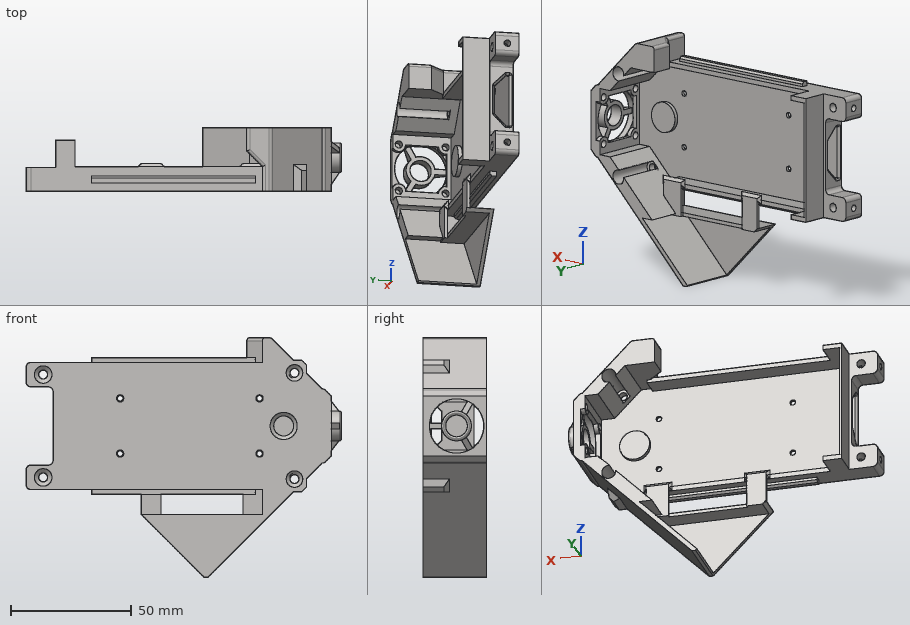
import cadquery as cq
import math


select_margin = 0.1

tray_half = 26.5
tray_depth = 10.3
floor = 1.65
wall = 2.0
tray_left = 11.2
tray_right = 98.3

tab_inner = 16.25
tab_depth = 10.0
tab_shoulder = 12.25
tab_fillet = 2.0
tab_hole_x = 7.1
tab_hole_z = 21.4
tab_pilot_y = 5.0
tab_pilot_dia = 2.7
tab_pilot_length = 10.0

screw_dia = 3.6
tab_screw_sink = 7.3
head_screw_sink = 6.9
board_hole_dia = 2.3
board_sink_dia = 3.0
board_hole_x = (39.15, 97.15)
board_hole_z = 11.5

bar_left = tab_shoulder
bar_right = 20.4
bar_back = 21.3

rail_left, rail_right = 27.3, 95.4
rail_front, rail_back = 3.5, 6.4
rail_height = 2.0
rail_chamfer = 0.9

head_depth = 26.5
head_top = 36.78
end_x = 127.0
end_inner_x = 122.0
slope_sum = 138.7
nose_sum = 139.5
nose_z = 15.5
inner_sum = 130.5
wing_inner_sum = slope_sum - wall * math.sqrt(2)
outer_fillet = 1.8
pocket_half = 14.2
step_under = -37.5
step_wall = 1.5

block_left = 91.8
block_bottom = 25.8
block_fillet = 1.4

wing_top = -36.8
wing_left = 47.9
wing_wall = 1.5
total_height = 99.78
wing_bottom = head_top - total_height
arm_back = 11.6

arm_width = 8.3
arm_right_left = 90.2
foot_top = -22.5
foot_bottom = -26.1

ear_x, ear_z = 111.7, 22.1
ear_right = 116.7
ear_top = 27.4
ear_chamfer = 2.0
ear_full = 8.7
access_dia = 6.0
access_front = 5.0

recess_x = 107.2
recess_dia = 11.3
recess_bottom_dia = 8.3
pad_dia = 13.0
pad_top = 3.4

lens_y = 14.0
lens_dia = 22.6
mount_pitch = 20.0
mount_boss_dia = 6.0
mount_boss_height = 2.0
relief_front = 3.5
mount_hole_dia = 3.0
mount_hole_depth = 4.0
hub_dia = 12.4
hub_round = 0.8
hub_bore = 9.0
hub_x = 131.22
rib_width = 2.4
rib_count = 3

slot_back = 7.8
slot_half_back = 6.0
slot_half = 10.9
slot_chamfer = 1.0


def box(x0, x1, y0, y1, z0, z1):
    return cq.Workplane("XY").box(x1 - x0, y1 - y0, z1 - z0, centered=False).translate((x0, y0, z0))


def prism(points, y0, y1):
    """Extrude an (x, z) outline from y0 to y1."""
    return cq.Workplane("XZ", origin=(0, y0, 0)).polyline(points).close().extrude(y0 - y1)


def rod_y(x, z, dia, y0, y1):
    return cq.Workplane("XZ", origin=(x, y0, z)).circle(dia / 2).extrude(y0 - y1)


def rod_x(y, z, dia, x0, x1):
    return cq.Workplane("YZ", origin=(x0, y, z)).circle(dia / 2).extrude(x1 - x0)


def sink(x, z, dia, bottom_dia):
    """45-degree conical recess in the front face."""
    depth = (dia - bottom_dia) / 2
    cone = cq.Solid.makeCone(dia / 2, bottom_dia / 2, depth, cq.Vector(x, 0, z), cq.Vector(0, 1, 0))
    return cq.Workplane(cone)


def make_tray():
    body = box(0, tray_right + wall, 0, tray_depth, -tray_half, tray_half)
    body = body.cut(box(0, tab_shoulder, tab_depth, tray_depth, -tray_half, tray_half))
    body = body.cut(box(0, tray_left, 0, tray_depth, -tab_inner, tab_inner))
    tab_zone = cq.selectors.BoxSelector(
        (-select_margin, -select_margin, -tray_half - select_margin),
        (tray_left + select_margin, tray_depth, tray_half + select_margin),
    )
    body = body.edges("|Y").edges(tab_zone).fillet(tab_fillet)
    return body.union(box(bar_left, bar_right, tab_depth, bar_back, -tray_half, tray_half))


def make_rail():
    rail = box(rail_left, rail_right, rail_front, rail_back, tray_half - wall, tray_half + rail_height)
    return rail.edges(">Y and >Z").chamfer(rail_chamfer)


def make_head_body():
    """Outer form of the head and wing, before hollowing."""
    tip_z = (wing_left + wing_top - slope_sum) / 2
    tip_x = slope_sum + tip_z
    nose = [
        (slope_sum - nose_z, nose_z),
        (nose_sum - nose_z, nose_z),
        (end_x, nose_sum - end_x),
    ]
    outline = [(tray_right, head_top), (slope_sum - head_top, head_top)]
    outline += nose
    outline += [(x, -z) for x, z in reversed(nose)]
    outline += [(tip_x, tip_z), (wing_left, wing_top), (tray_right, wing_top)]
    body = prism(outline, 0, head_depth)
    for x, z in ((slope_sum - head_top, head_top), nose[1], (nose[1][0], -nose_z)):
        corner = cq.selectors.BoxSelector(
            (x - select_margin, 0, z - select_margin),
            (x + select_margin, head_depth, z + select_margin),
        )
        body = body.edges(corner).fillet(outer_fillet)
    return body.cut(box(0, end_x, 0, head_depth, tip_z, wing_bottom))


def make_block():
    """Solid top block; its left side slants outwards behind the tray."""
    slant = tray_right - block_left
    plan = [
        (tray_right, 0),
        (tray_right, tray_depth),
        (block_left, tray_depth + slant),
        (block_left, head_depth),
        (tray_right + wall, head_depth),
        (tray_right + wall, 0),
    ]
    block = cq.Workplane("XY", origin=(0, 0, block_bottom)).polyline(plan).close()
    return block.extrude(head_top - block_bottom)


def hollow_head(part):
    """Open the head and wing to the back, leaving the floor, outer walls and wing's top wall."""
    ceiling = wing_top - wing_wall
    inner_left = tray_right + step_wall
    open_left = wing_left - wall
    cavity_low = wing_bottom - wall
    upper = [
        (inner_left, block_bottom),
        (inner_sum - block_bottom, block_bottom),
        (inner_sum - pocket_half, pocket_half),
        (end_inner_x, pocket_half),
        (end_inner_x, -pocket_half),
        (inner_sum - pocket_half, -pocket_half),
        (inner_left, inner_left - inner_sum),
    ]
    lower = [
        (wing_inner_sum + ceiling, ceiling),
        (wing_inner_sum + cavity_low, cavity_low),
        (open_left, ceiling),
    ]
    behind = [
        (open_left, block_bottom),
        (inner_left, block_bottom),
        (inner_left, inner_left - inner_sum),
        (inner_sum + step_under, step_under),
        (wing_inner_sum + step_under, step_under),
        (wing_inner_sum + ceiling, ceiling),
        (open_left, ceiling),
    ]
    part = part.cut(prism(upper, floor, head_depth))
    part = part.cut(prism(lower, floor, head_depth))
    return part.cut(prism(behind, tray_depth, head_depth))


def make_arm(x0, x1):
    """Flat arm from the tray's back to the wing, with a 45-degree foot on the tray."""
    rise = arm_back - tray_depth
    arm = box(x0, x1, tray_depth, arm_back, wing_top - wing_wall, (foot_bottom + foot_top) / 2)
    foot = cq.Workplane("XZ", origin=((x0 + x1) / 2, tray_depth, (foot_bottom + foot_top) / 2))
    foot = foot.rect(x1 - x0 + 2 * rise, foot_top - foot_bottom).extrude(-rise, taper=45)
    return arm.union(foot)


def make_ear():
    """Ear around the upper head screw, ending in a 45-degree slope on the wall."""
    corner = (slope_sum - ear_top, ear_top)
    reach = (ear_right + ear_top - ear_chamfer - slope_sum) / math.sqrt(2)
    outline = [
        corner,
        (ear_right - ear_chamfer, ear_top),
        (ear_right, ear_top - ear_chamfer),
        (ear_right, slope_sum - ear_right),
        (ear_x, ear_z),
    ]
    ear = prism(outline, 0, ear_full + reach)
    plane = cq.Plane(origin=(corner[0], 0, corner[1]), xDir=(1, 0, 1), normal=(-1, 0, 1))
    tip = (reach * 2, ear_full - reach)
    points = [(0, ear_full + reach), tip, (tip[0], ear_full + reach)]
    cutter = cq.Workplane(plane).polyline(points).close()
    return ear.cut(cutter.extrude(tray_half, both=True))


def make_lens_hub():
    """Ring in front of the lens opening, carried by three sloping ribs."""
    hub = rod_x(lens_y, 0, hub_dia, end_x - wall, hub_x)
    hub = hub.cut(rod_x(lens_y, 0, hub_bore, end_x - wall, hub_x))
    hub = hub.faces(">X").edges().fillet(hub_round)
    radius_in = (hub_dia + hub_bore) / 4
    radius_out = lens_dia / 2
    rib_profile = [
        (end_x - wall, -radius_in),
        (end_x - wall, -radius_out - wall / 2),
        (end_x, -radius_out - wall / 2),
        (end_x, -radius_out),
        (hub_x - hub_round, -hub_dia / 2),
        (hub_x - hub_round, -radius_in),
    ]
    rib = cq.Workplane("XY").polyline(rib_profile).close().extrude(rib_width / 2, both=True)
    for i in range(rib_count):
        angle = 360 / rib_count * i
        hub = hub.union(rib.rotate((0, 0, 0), (1, 0, 0), angle).translate((0, lens_y, 0)))
    return hub


def cut_slot(part):
    """Chamfered slot through the left end wall into the tray."""
    side_y = slot_back - (slot_half - slot_half_back)
    half = [(slot_back, slot_half_back), (side_y, slot_half), (floor, slot_half)]
    outline = half + [(y, -z) for y, z in reversed(half)]
    hole = cq.Workplane("YZ", origin=(tray_left, 0, 0)).polyline(outline).close()
    part = part.cut(hole.extrude(2 * wall))
    mouth = cq.Workplane("YZ", origin=(tray_left, 0, 0)).polyline(outline).close()
    mouth = mouth.offset2D(slot_chamfer).extrude(slot_chamfer, taper=45)
    return part.cut(mouth)


def round_block(part):
    """Round the stepped left edge along the top of the head."""
    edges = cq.selectors.BoxSelector(
        (block_left - select_margin, -select_margin, head_top - select_margin),
        (tray_right + select_margin, head_depth - select_margin, head_top + select_margin),
    )
    return part.edges(edges).fillet(block_fillet)


def hollow_tray(part):
    side = tray_half - wall
    return part.cut(box(tray_left + wall, tray_right + wall, floor, bar_back, -side, side))


def add_arms(part):
    part = part.union(make_arm(wing_left, wing_left + arm_width))
    part = part.union(make_arm(arm_right_left, tray_right + step_wall))
    ceiling = wing_top - wing_wall
    corner = [(wing_left, wing_top), (wing_left, ceiling), (wing_left + wing_wall, ceiling)]
    return part.cut(prism(corner, 0, arm_back))


def make_inner_wedge():
    """Continues the thick sloping wall behind the tray, past the left edge of the head."""
    outline = [
        (tray_right + step_wall, tray_right + step_wall - inner_sum),
        (inner_sum + step_under, step_under),
        (slope_sum + step_under, step_under),
    ]
    return prism(outline, tray_depth, head_depth)


def add_lens_mount(part):
    """Lens opening with four screw bosses standing in a shallow relief of the end wall."""
    half_pitch = mount_pitch / 2
    relief_end = end_inner_x + mount_boss_height
    offsets = (-half_pitch, half_pitch)
    mounts = [(lens_y + dy, dz) for dy in offsets for dz in offsets]
    envelope = box(end_inner_x, end_x, 0, head_depth, -tray_half, tray_half)
    part = part.cut(box(end_inner_x, relief_end, relief_front, head_depth, -half_pitch, half_pitch))
    for y, z in mounts:
        boss = rod_x(y, z, mount_boss_dia, end_inner_x, relief_end)
        part = part.union(boss.intersect(envelope))
    part = part.cut(rod_x(lens_y, 0, lens_dia, relief_end, end_x))
    for y, z in mounts:
        part = part.cut(rod_x(y, z, mount_hole_dia, end_inner_x, end_inner_x + mount_hole_depth))
    return part.union(make_lens_hub())


def cut_tab_holes(part):
    for z in (tab_hole_z, -tab_hole_z):
        part = part.cut(rod_y(tab_hole_x, z, screw_dia, 0, tray_depth))
        part = part.cut(sink(tab_hole_x, z, tab_screw_sink, screw_dia))
        part = part.cut(rod_x(tab_pilot_y, z, tab_pilot_dia, 0, tab_pilot_length))
    return part


def cut_head_holes(part):
    """Countersunk screw holes of the head, widened behind for access."""
    for z in (ear_z, -ear_z):
        part = part.cut(rod_y(ear_x, z, access_dia, access_front, head_depth))
        part = part.cut(rod_y(ear_x, z, screw_dia, 0, head_depth))
        part = part.cut(sink(ear_x, z, head_screw_sink, screw_dia))
    return part


def cut_board_holes(part):
    for x in board_hole_x:
        for z in (board_hole_z, -board_hole_z):
            part = part.cut(rod_y(x, z, board_hole_dia, 0, floor))
            part = part.cut(sink(x, z, board_sink_dia, board_hole_dia))
    return part


def add_recess(part):
    """Conical recess in the front face, backed by a round pad inside."""
    part = part.union(rod_y(recess_x, 0, pad_dia, 0, pad_top))
    return part.cut(sink(recess_x, 0, recess_dia, recess_bottom_dia))


part = make_tray().union(make_head_body()).union(make_block())
part = round_block(part)
part = hollow_head(part)
part = part.union(make_inner_wedge())
part = hollow_tray(part)
for feature in (make_rail(), make_ear()):
    part = part.union(feature).union(feature.mirror("XY"))
part = add_arms(part)
part = add_lens_mount(part)
part = add_recess(part)
part = cut_slot(part)
part = cut_tab_holes(part)
part = cut_head_holes(part)
part = cut_board_holes(part)

result = part